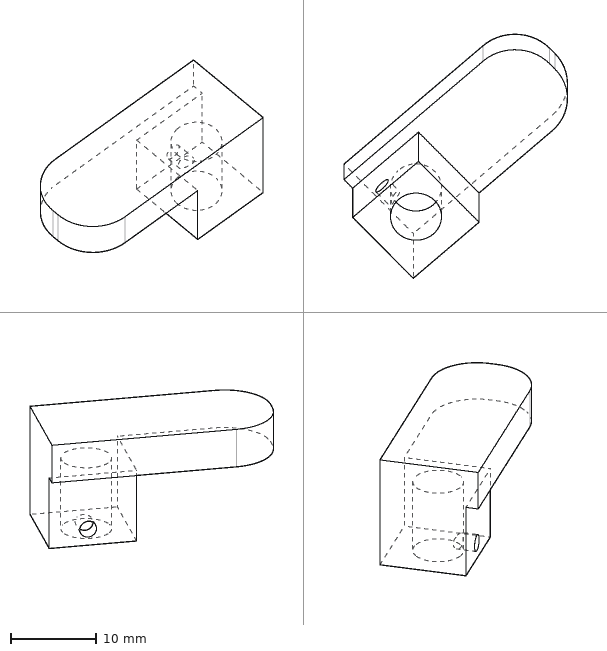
import cadquery as cq

plate_width = 12.0
plate_length = 27.72
plate_thickness = 4.8
nose_radius = 5.55

block_side = 10.5
block_height = 9.0

hole_diameter = 2.0
hole_from_back = 4.68
hole_from_bottom = 2.05

bore_diameter = 6.0
bore_from_back = 5.55
bore_from_side = 5.55

right_x = plate_width / 2
back_y = plate_length / 2
bore_x = right_x - bore_from_side
bore_y = back_y - bore_from_back


def make_plate():
    """Flat lever with both front corners rounded."""
    plate = cq.Workplane("XY").box(
        plate_width, plate_length, plate_thickness, centered=(True, True, False)
    )
    return plate.edges("|Z and <Y").fillet(nose_radius).translate((0, 0, block_height))


def make_block():
    """Square block under the back end of the lever."""
    block = cq.Workplane("XY").box(block_side, block_side, block_height, centered=False)
    return block.translate((right_x - block_side, back_y - block_side, 0))


def make_cross_hole():
    """Round hole running along +X from the block face to the axis of the bore."""
    start = (right_x - block_side, back_y - hole_from_back, hole_from_bottom)
    hole_depth = bore_x - (right_x - block_side)
    return cq.Workplane("YZ", origin=start).circle(hole_diameter / 2).extrude(hole_depth)


def make_bore():
    """Vertical shaft bore, as deep as the block is high."""
    start = (bore_x, bore_y, 0)
    return cq.Workplane("XY", origin=start).circle(bore_diameter / 2).extrude(block_height)


result = make_plate().union(make_block()).cut(make_bore()).cut(make_cross_hole())